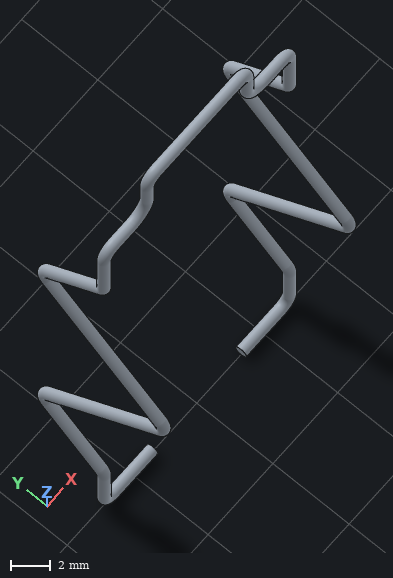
import cadquery as cq
import math

HEIGHT = 38.75
WIDTH = 15.05
DEPTH = 8.55

WIRE_DIAMETER = 0.75
BEND_RADIUS = 0.78
NECK_BEND_RADIUS = 1.3

NECK_HALF_WIDTH = 3.85
SHOULDER_DROP = 3.75
FOOT_END_X = 3.4
MIDDLE_BEND_Z = -2.2

wire_radius = WIRE_DIAMETER / 2
leg_x = WIDTH / 2 - wire_radius
top_z = HEIGHT / 2 - wire_radius
foot_z = -top_z
shoulder_z = top_z - SHOULDER_DROP

zigzag_y = DEPTH / 2 - wire_radius + BEND_RADIUS * (math.sqrt(2) - 1)
upper_bend_z = MIDDLE_BEND_Z + 2 * zigzag_y
lower_bend_z = MIDDLE_BEND_Z - 2 * zigzag_y
upper_knee_z = upper_bend_z + zigzag_y
lower_knee_z = lower_bend_z - zigzag_y


def mirror_x(corner):
    """Return the same bend on the opposite side of the clip."""
    x, y, z, radius = corner
    return (-x, y, z, radius)


def rounded_path(start, corners, end):
    """Join start to end through (x, y, z, bend radius) corners, rounding each one."""
    points = [cq.Vector(*corner[:3]) for corner in corners] + [cq.Vector(*end)]
    previous = cq.Vector(*start)
    current = previous
    edges = []
    for index, (*_, radius) in enumerate(corners):
        corner = points[index]
        back = (previous - corner).normalized()
        ahead = (points[index + 1] - corner).normalized()
        half_angle = back.getAngle(ahead) / 2
        setback = radius / math.tan(half_angle)
        arc_start = corner + back * setback
        arc_end = corner + ahead * setback
        inward = (back + ahead).normalized()
        arc_middle = corner + inward * (radius / math.sin(half_angle) - radius)
        edges.append(cq.Edge.makeLine(current, arc_start))
        edges.append(cq.Edge.makeThreePointArc(arc_start, arc_middle, arc_end))
        previous = corner
        current = arc_end
    edges.append(cq.Edge.makeLine(current, points[-1]))
    return cq.Wire.assembleEdges(edges)


right_corners = [
    (leg_x, 0, foot_z, BEND_RADIUS),
    (leg_x, 0, lower_knee_z, BEND_RADIUS),
    (leg_x, zigzag_y, lower_bend_z, BEND_RADIUS),
    (leg_x, -zigzag_y, MIDDLE_BEND_Z, BEND_RADIUS),
    (leg_x, zigzag_y, upper_bend_z, BEND_RADIUS),
    (leg_x, 0, upper_knee_z, BEND_RADIUS),
    (leg_x, 0, shoulder_z, BEND_RADIUS),
    (NECK_HALF_WIDTH, 0, shoulder_z, NECK_BEND_RADIUS),
    (NECK_HALF_WIDTH, 0, top_z, BEND_RADIUS),
]
left_corners = [mirror_x(corner) for corner in reversed(right_corners)]

right_foot_end = (FOOT_END_X, 0, foot_z)
left_foot_end = (-FOOT_END_X, 0, foot_z)
centreline = rounded_path(right_foot_end, right_corners + left_corners, left_foot_end)

result = (
    cq.Workplane("YZ", origin=right_foot_end)
    .circle(wire_radius)
    .sweep(cq.Workplane(obj=centreline))
)